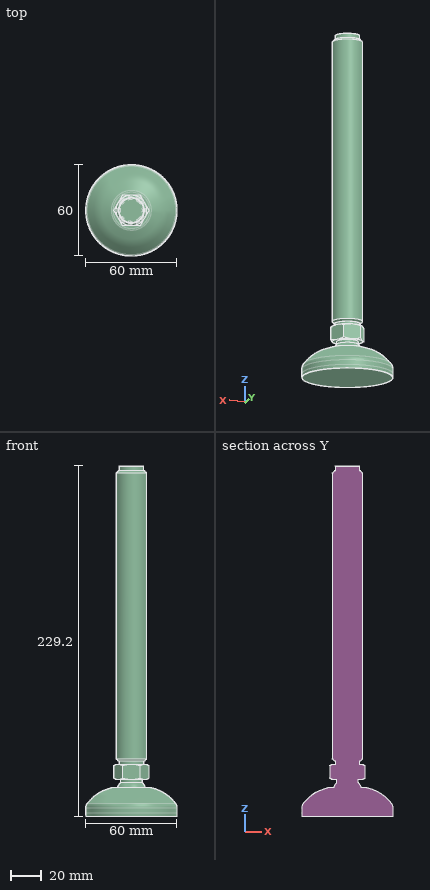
import cadquery as cq
import math

total_height = 229.2

foot_diameter = 60.0
foot_base_diameter = 59.7
base_edge_chamfer = 0.2
taper_height = 2.4
foot_height = 19.1
dome_radius = 28.0
dome_center_offset = 6.7
dome_center_height = -8.3
foot_blend_radius = 5.0

ball_diameter = 19.6
ball_rim_diameter = 18.32
stem_diameter = 14.3

hex_sides = 6
hex_across_flats = 20.0
hex_bottom = 24.2
hex_height = 10.0
hex_top = hex_bottom + hex_height
hex_chamfer_angle = 30.0

spindle_diameter = 20.0
undercut_diameter = 16.2
undercut_height = 2.0
chamfer_end_diameter = 17.0
tip_diameter = 16.0
tip_height = 2.9
spindle_chamfer = (spindle_diameter - chamfer_end_diameter) / 2


def cylinder(diameter, bottom, top):
    return cq.Workplane("XY").workplane(offset=bottom).circle(diameter / 2).extrude(top - bottom)


def dome_tangent_point(blend_x, blend_z):
    """Point where a blend arc with the given center touches the inside of the dome arc."""
    reach = dome_radius / (dome_radius - foot_blend_radius)
    x = dome_center_offset + (blend_x - dome_center_offset) * reach
    z = dome_center_height + (blend_z - dome_center_height) * reach
    return x, z


def make_foot():
    """Round pad with a slightly tapered base and a dome blended into its side and flat top."""
    foot_radius = foot_diameter / 2
    base_radius = foot_base_diameter / 2
    center_distance = dome_radius - foot_blend_radius
    side_blend_x = foot_radius - foot_blend_radius
    side_blend_z = dome_center_height + math.sqrt(
        center_distance**2 - (side_blend_x - dome_center_offset) ** 2
    )
    top_blend_z = foot_height - foot_blend_radius
    top_blend_x = dome_center_offset + math.sqrt(
        center_distance**2 - (top_blend_z - dome_center_height) ** 2
    )
    return (
        cq.Workplane("XZ")
        .lineTo(base_radius - base_edge_chamfer, 0)
        .lineTo(base_radius, base_edge_chamfer)
        .lineTo(foot_radius, taper_height)
        .lineTo(foot_radius, side_blend_z)
        .radiusArc(dome_tangent_point(side_blend_x, side_blend_z), -foot_blend_radius)
        .radiusArc(dome_tangent_point(top_blend_x, top_blend_z), -dome_radius)
        .radiusArc((top_blend_x, foot_height), -foot_blend_radius)
        .lineTo(0, foot_height)
        .close()
        .revolve(360, (0, 0, 0), (0, 1, 0))
    )


def make_ball_stem():
    """Ball rising out of the foot, and the thin stem that joins it to the hexagon."""
    ball_radius = ball_diameter / 2
    center_depth = math.sqrt(ball_radius**2 - (ball_rim_diameter / 2) ** 2)
    center_height = foot_height - center_depth
    ball = cq.Workplane("XY").sphere(ball_radius).translate((0, 0, center_height))
    upper_half = cylinder(ball_diameter, center_height, hex_bottom)
    stem = cylinder(stem_diameter, center_height, hex_bottom)
    return ball.intersect(upper_half).union(stem)


def make_hexagon():
    """Hexagon with two flats facing along Y and its corners turned off at both ends."""
    across_corners = hex_across_flats / math.cos(math.pi / hex_sides)
    corner_radius = across_corners / 2
    face_radius = hex_across_flats / 2
    drop = (corner_radius - face_radius) * math.tan(math.radians(hex_chamfer_angle))
    prism = (
        cq.Workplane("XY")
        .workplane(offset=hex_bottom)
        .polygon(hex_sides, across_corners)
        .extrude(hex_height)
    )
    turned_blank = (
        cq.Workplane("XZ")
        .moveTo(0, hex_bottom)
        .lineTo(face_radius, hex_bottom)
        .lineTo(corner_radius, hex_bottom + drop)
        .lineTo(corner_radius, hex_top - drop)
        .lineTo(face_radius, hex_top)
        .lineTo(0, hex_top)
        .close()
        .revolve(360, (0, 0, 0), (0, 1, 0))
    )
    return prism.intersect(turned_blank)


def make_spindle():
    """Threaded rod modelled as a plain cylinder, with an undercut below it and a short tip above it."""
    spindle_bottom = hex_top + undercut_height
    spindle_top = total_height - tip_height
    undercut = cylinder(undercut_diameter, hex_top, spindle_bottom)
    rod = cylinder(spindle_diameter, spindle_bottom, spindle_top)
    thread = rod.faces("<Z or >Z").chamfer(spindle_chamfer)
    tip = cylinder(tip_diameter, spindle_top, total_height)
    return undercut.union(thread).union(tip)


result = make_foot().union(make_ball_stem()).union(make_hexagon()).union(make_spindle())